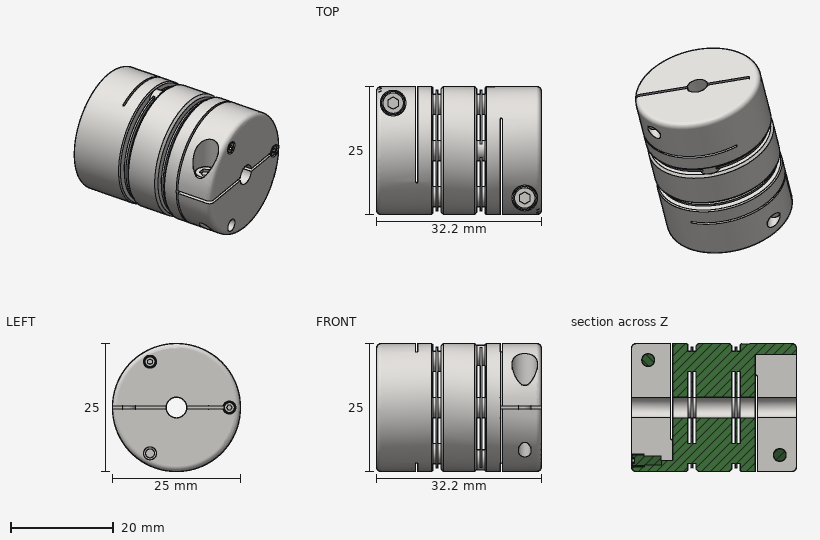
import cadquery as cq
import math

length = 32.2
outer_diameter = 25.0
outer_radius = outer_diameter / 2
bore_diameter = 4.0
axis_middle = length / 2

hub_length = 11.0
spacer_length = 7.02
gap_length = (length - 2 * hub_length - spacer_length) / 2
hub_end_fillet = 1.0
hub_inner_chamfer = 0.25
spacer_chamfer = 0.48
disc_diameter = 23.5
disc_thickness = 0.4

post_diameter = 4.0
post_radius_from_axis = 8.98
raised_post_radius_from_axis = 10.18

slit_width = 0.4
slit_end_radius = 0.15
slit_from_end = 7.85
slit_reach = outer_radius / 2
slot_width = 0.6

clamp_from_end = 3.3
clamp_offset = 9.25
clamp_shank_diameter = 2.5
clamp_head_diameter = 4.5
clamp_head_height = 2.5
clamp_head_chamfer = 0.25
clamp_recess_diameter = 5.0
clamp_recess_floor = 1.87
clamp_tip_z = -5.8
clamp_hex_flats = 2.05
clamp_hex_depth = 0.65

end_hole_circle_radius = 10.3
end_hole_angles = (60, 180, 300)
end_screws_at = ((60, 90), (180, 0))
end_recess_diameter = 2.5
end_recess_depth = 2.5
end_shank_diameter = 1.75
end_hole_depth = 5.8
end_head_diameter = 2.13
end_head_height = 2.38
end_head_chamfer = 0.1
end_hex_flats = 0.9
end_hex_depth = 0.48

hexagon_corner_ratio = 2 / math.sqrt(3)


def x_cylinder(diameter, x_start, x_length, y=0.0, z=0.0):
    """Cylinder along +X that starts at x_start."""
    base = cq.Workplane("YZ", origin=(x_start, y, z))
    return base.circle(diameter / 2).extrude(x_length)


def turn_to_right_end(body):
    """Half turn about the vertical line through the middle of the coupling."""
    return body.rotate((axis_middle, 0, 0), (axis_middle, 0, 1), 180)


def end_position(angle):
    """Y and Z of an end-face hole."""
    turn = math.radians(angle)
    return end_hole_circle_radius * math.cos(turn), end_hole_circle_radius * math.sin(turn)


def make_hub():
    """Left hub with its slit, clamp slot and clamp screw hole."""
    hub = x_cylinder(outer_diameter, 0, hub_length)
    hub = hub.faces("<X").edges().fillet(hub_end_fillet)
    hub = hub.faces(">X").edges().chamfer(hub_inner_chamfer)

    slit_length = outer_radius + slit_reach
    slit = (
        cq.Workplane("XY")
        .box(slit_width, slit_length, outer_diameter)
        .edges("|Z and <Y")
        .fillet(slit_end_radius)
        .translate((slit_from_end, slit_length / 2 - slit_reach, 0))
    )

    slot_length = outer_radius + end_hole_circle_radius
    slot_depth = slit_from_end + slit_width / 2
    slot = cq.Workplane("XY").box(slot_depth, slot_length, slot_width)
    slot = slot.translate((slot_depth / 2, slot_length / 2 - end_hole_circle_radius, 0))

    clamp_axis = cq.Workplane("XY", origin=(clamp_from_end, clamp_offset, 0))
    screw_hole = clamp_axis.circle(clamp_shank_diameter / 2).extrude(outer_radius, both=True)
    recess = (
        clamp_axis.workplane(offset=clamp_recess_floor)
        .circle(clamp_recess_diameter / 2)
        .extrude(outer_radius)
    )
    return hub.cut(slit).cut(slot).cut(screw_hole).cut(recess)


def make_spacer():
    """Centre ring between the two discs."""
    spacer = x_cylinder(outer_diameter, axis_middle - spacer_length / 2, spacer_length)
    return spacer.faces("<X or >X").edges().chamfer(spacer_chamfer)


def make_disc_pack(gap_start, z_radius):
    """Disc in one gap, with four posts that bridge the gap."""
    disc_start = gap_start + (gap_length - disc_thickness) / 2
    pack = x_cylinder(disc_diameter, disc_start, disc_thickness)
    for side in (-1, 1):
        side_post = x_cylinder(post_diameter, gap_start, gap_length, y=side * post_radius_from_axis)
        upright_post = x_cylinder(post_diameter, gap_start, gap_length, z=side * z_radius)
        pack = pack.union(side_post).union(upright_post)
    return pack


def cut_end_holes(body):
    """Stepped holes in the left end face."""
    for angle in end_hole_angles:
        y, z = end_position(angle)
        body = body.cut(x_cylinder(end_recess_diameter, 0, end_recess_depth, y, z))
        body = body.cut(x_cylinder(end_shank_diameter, 0, end_hole_depth, y, z))
    return body


def make_coupling():
    left_hub = make_hub()
    right_gap_start = length - hub_length - gap_length
    coupling = (
        make_spacer()
        .union(make_disc_pack(hub_length, post_radius_from_axis))
        .union(make_disc_pack(right_gap_start, raised_post_radius_from_axis))
        .union(left_hub)
        .union(turn_to_right_end(left_hub))
    )
    coupling = coupling.cut(x_cylinder(bore_diameter, 0, length))
    return cut_end_holes(coupling)


def make_cap_screw(
    head_diameter, head_height, head_chamfer, shank_diameter, shank_length, hex_flats, hex_depth
):
    """Cap screw along Z, its head seated on Z = 0 and its shank pointing down."""
    head = cq.Workplane("XY").circle(head_diameter / 2).extrude(head_height)
    head = head.faces(">Z").edges().chamfer(head_chamfer)
    shank = cq.Workplane("XY").circle(shank_diameter / 2).extrude(-shank_length)
    socket = (
        cq.Workplane("XY", origin=(0, 0, head_height))
        .transformed(rotate=(0, 0, 90))
        .polygon(6, hex_flats * hexagon_corner_ratio)
        .extrude(-hex_depth)
    )
    return head.union(shank).cut(socket)


def make_clamp_screw():
    """Clamp screw of the left hub."""
    screw = make_cap_screw(
        clamp_head_diameter,
        clamp_head_height,
        clamp_head_chamfer,
        clamp_shank_diameter,
        clamp_recess_floor - clamp_tip_z,
        clamp_hex_flats,
        clamp_hex_depth,
    )
    return screw.translate((clamp_from_end, clamp_offset, clamp_recess_floor))


def make_end_screw(angle, turn):
    """Small screw in one of the left end-face holes."""
    screw = make_cap_screw(
        end_head_diameter,
        end_head_height,
        end_head_chamfer,
        end_shank_diameter,
        end_hole_depth - end_recess_depth,
        end_hex_flats,
        end_hex_depth,
    )
    y, z = end_position(angle)
    screw = screw.rotate((0, 0, 0), (0, 0, 1), turn).rotate((0, 0, 0), (0, 1, 0), -90)
    return screw.translate((end_recess_depth, y, z))


coupling = make_coupling()
left_clamp_screw = make_clamp_screw()
clamp_screws = [left_clamp_screw, turn_to_right_end(left_clamp_screw)]
end_screws = [make_end_screw(angle, turn) for angle, turn in end_screws_at]

result = cq.Compound.makeCompound(
    [coupling.val()] + [screw.val() for screw in clamp_screws + end_screws]
)